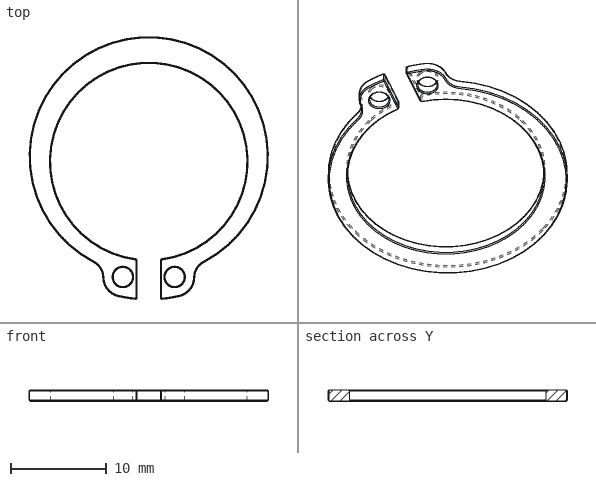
import cadquery as cq
import math

thickness = 1.2
edge_chamfer = 0.12
bore_radius = 10.23
ring_outer_radius = 12.465
ring_offset = 0.55
gap_width = 2.4
overall_length = 27.38

plier_hole_diameter = 2.0
plier_hole_x = 2.7
plier_hole_y = -12.03
neck_radius = 1.8

half_gap = gap_width / 2

lowest_y = ring_offset + ring_outer_radius - overall_length
lug_tip_radius = math.hypot(half_gap + edge_chamfer, lowest_y)

hole_distance = math.hypot(plier_hole_x, plier_hole_y)
lug_round_radius = lug_tip_radius - hole_distance

BORE_CENTER = (0.0, 0.0)
RING_CENTER = (0.0, ring_offset)
HOLE_CENTER = (plier_hole_x, plier_hole_y)


def point_toward(start, target, distance):
    """Point at a distance from start, in the direction of target."""
    dx = target[0] - start[0]
    dy = target[1] - start[1]
    scale = distance / math.hypot(dx, dy)
    return (start[0] + dx * scale, start[1] + dy * scale)


def arc_middle(center, start, end):
    """Middle point of the shorter arc about center from start to end."""
    chord_middle = ((start[0] + end[0]) / 2, (start[1] + end[1]) / 2)
    return point_toward(center, chord_middle, math.dist(center, start))


def neck_center():
    """Centre of the neck blend on the +X side, tangent to the ring and the lug round."""
    from_ring = ring_outer_radius + neck_radius
    from_hole = lug_round_radius + neck_radius
    dx = HOLE_CENTER[0] - RING_CENTER[0]
    dy = HOLE_CENTER[1] - RING_CENTER[1]
    span = math.hypot(dx, dy)
    along = (from_ring**2 - from_hole**2 + span**2) / (2 * span)
    across = math.sqrt(from_ring**2 - along**2)
    return (
        RING_CENTER[0] + (along * dx - across * dy) / span,
        RING_CENTER[1] + (along * dy + across * dx) / span,
    )


def mirrored(point):
    """The matching point on the -X side."""
    return (-point[0], point[1])


def make_blank():
    """Ring with both lugs, before the holes and the edge chamfers."""
    neck = neck_center()
    bore_end = (half_gap, -math.sqrt(bore_radius**2 - half_gap**2))
    tip_corner = (half_gap, -math.sqrt(lug_tip_radius**2 - half_gap**2))
    tip_end = point_toward(BORE_CENTER, HOLE_CENTER, lug_tip_radius)
    lug_end = point_toward(HOLE_CENTER, neck, lug_round_radius)
    ring_end = point_toward(RING_CENTER, neck, ring_outer_radius)

    lug_arcs = [
        (tip_corner, arc_middle(BORE_CENTER, tip_corner, tip_end), tip_end),
        (tip_end, arc_middle(HOLE_CENTER, tip_end, lug_end), lug_end),
        (lug_end, arc_middle(neck, lug_end, ring_end), ring_end),
    ]

    outline = cq.Workplane("XY").moveTo(*bore_end).lineTo(*tip_corner)
    for _, middle, end in lug_arcs:
        outline = outline.threePointArc(middle, end)
    ring_top = (0, ring_offset + ring_outer_radius)
    outline = outline.threePointArc(ring_top, mirrored(ring_end))
    for start, middle, _ in reversed(lug_arcs):
        outline = outline.threePointArc(mirrored(middle), mirrored(start))
    outline = outline.lineTo(*mirrored(bore_end))
    outline = outline.threePointArc((0, bore_radius), bore_end)
    return outline.close().extrude(thickness)


def cut_plier_holes(body):
    """One through hole in each lug."""
    holes = (
        cq.Workplane("XY")
        .pushPoints([HOLE_CENTER, mirrored(HOLE_CENTER)])
        .circle(plier_hole_diameter / 2)
        .extrude(thickness)
    )
    return body.cut(holes)


def chamfer_edges(body):
    """Break the gap face corners and every edge of the two flat faces, hole rims included."""
    gap_corners = body.faces("|X").edges("|Z")
    corners_broken = gap_corners.chamfer(edge_chamfer)
    return corners_broken.faces("|Z").edges().chamfer(edge_chamfer)


result = chamfer_edges(cut_plier_holes(make_blank()))